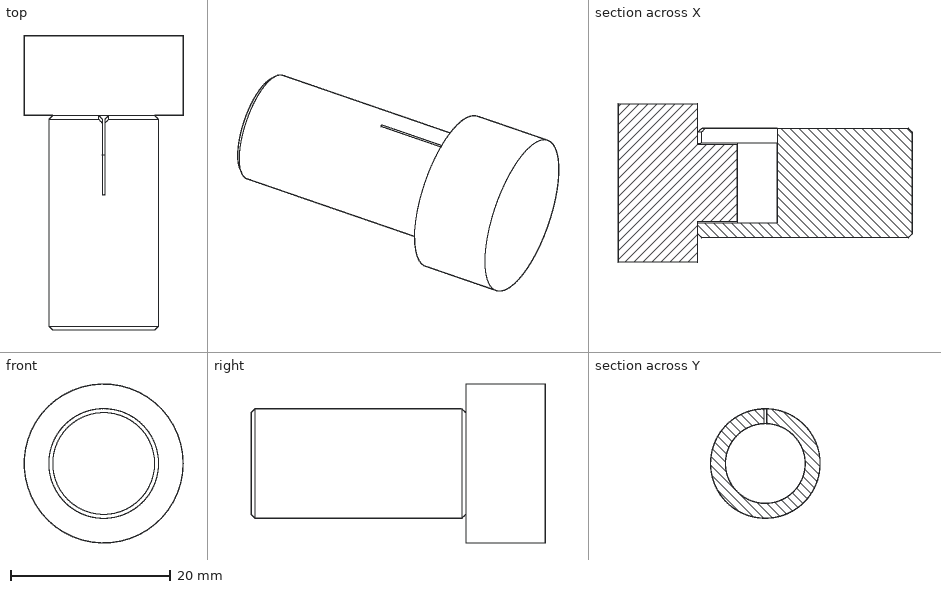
import cadquery as cq
import math


head_diameter = 20.0
head_thickness = 10.0
spigot_diameter = 9.8
spigot_length = 5.0

sleeve_diameter = 13.8
sleeve_length = 27.0
end_chamfer = 0.5
bore_diameter = 10.0
slit_length = 10.0
slit_width = 0.3
bore_depth = slit_length

mouth_half_width = slit_width / 2 + end_chamfer
flare_start_z = sleeve_diameter / 2 - end_chamfer
flare_angle = math.degrees(math.atan(1 / math.sqrt(2)))


def cylinder_toward_minus_y(diameter, length, start_y=0.0):
    """Cylinder on the Y axis, running from start_y in the -Y direction."""
    return cq.Workplane("XZ", origin=(0, start_y, 0)).circle(diameter / 2).extrude(length)


def make_head():
    disc = cylinder_toward_minus_y(head_diameter, head_thickness, start_y=head_thickness)
    spigot = cylinder_toward_minus_y(spigot_diameter, spigot_length)
    return disc.union(spigot)


def slit_cutter():
    """Narrow slit with a round inner end, cutting only the +Z wall."""
    end_radius = slit_width / 2
    end_centre_y = -slit_length + end_radius
    return (
        cq.Workplane("XY")
        .moveTo(-end_radius, 0)
        .lineTo(-end_radius, end_centre_y)
        .threePointArc((0, -slit_length), (end_radius, end_centre_y))
        .lineTo(end_radius, 0)
        .close()
        .extrude(sleeve_diameter)
    )


def mouth_cutter():
    """Diamond prism whose -Y half is the 45 degree V mouth; it flares outward near the sleeve surface."""
    diamond_width = 2 * mouth_half_width
    vee = cq.Workplane("XY").polygon(4, diamond_width).extrude(flare_start_z)
    flare = (
        cq.Workplane("XY", origin=(0, 0, flare_start_z))
        .polygon(4, diamond_width)
        .extrude(2 * end_chamfer, taper=-flare_angle)
    )
    return vee.union(flare)


def make_sleeve():
    shank = cylinder_toward_minus_y(sleeve_diameter, sleeve_length)
    shank = shank.faces("<Y or >Y").chamfer(end_chamfer)
    bore = cylinder_toward_minus_y(bore_diameter, bore_depth)
    return shank.cut(bore).cut(slit_cutter()).cut(mouth_cutter())


head = make_head()
sleeve = make_sleeve()

result = cq.Compound.makeCompound([head.val(), sleeve.val()])